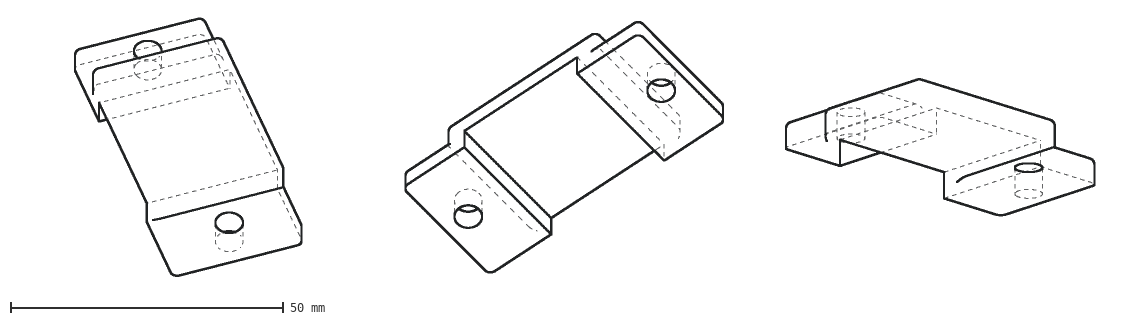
import cadquery as cq

length = 55.9
width = 25.4
height = 10.15

flange_height = height / 2
bridge_length = 35.55
channel_length = 26.65
channel_height = flange_height

edge_radius = 1.3
hole_diameter = 5.1
hole_spacing = 45.55
hole_pair_offset = 0.1


def centred_block(block_length, block_height):
    """Full-width block centred in X and Y, standing on Z = 0."""
    return cq.Workplane("XY").box(block_length, width, block_height, centered=(True, True, False))


body = centred_block(length, flange_height).union(centred_block(bridge_length, height))

vertical_edges = body.edges("|Z")
bridge_top_edges = body.faces(">Z").edges()
flange_end_edges = body.faces("<X or >X").edges(">Z")
flange_side_edges = body.faces("<Y or >Y").edges("|X").edges(
    cq.selectors.BoxSelector(
        (-length, -width, flange_height / 2),
        (length, width, (flange_height + height) / 2),
    )
)
rounded_edges = vertical_edges.add(bridge_top_edges).add(flange_end_edges).add(flange_side_edges)
body = rounded_edges.fillet(edge_radius)

body = body.cut(centred_block(channel_length, channel_height))

holes = (
    cq.Workplane("XY")
    .center(hole_pair_offset, 0)
    .pushPoints([(-hole_spacing / 2, 0), (hole_spacing / 2, 0)])
    .circle(hole_diameter / 2)
    .extrude(height)
)
result = body.cut(holes)